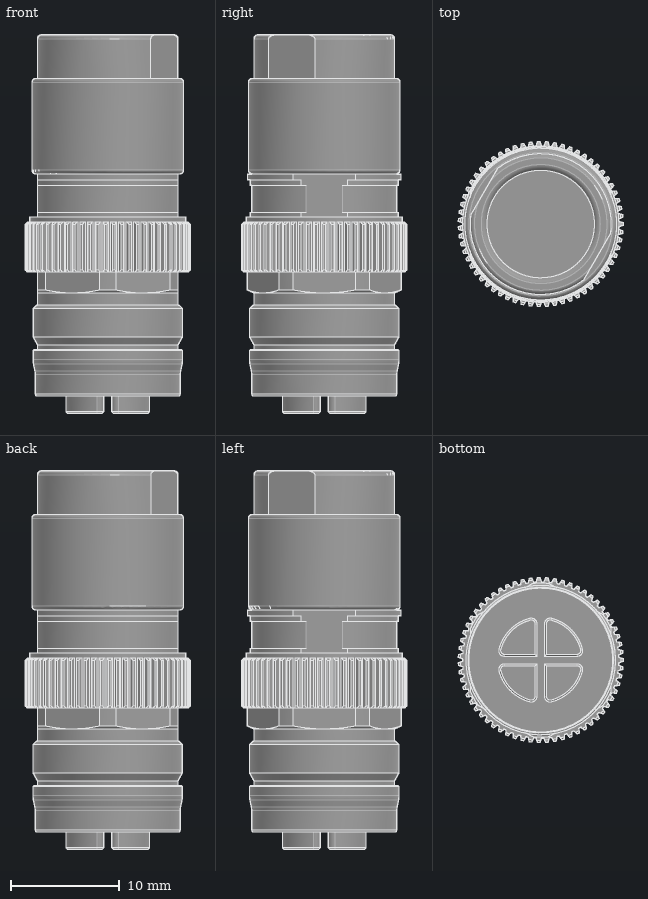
import cadquery as cq
import math

total_height = 34.9
neck_d = 13.0
neck_r = neck_d / 2

contact_gap = 0.7
contact_r = 3.98
contact_corner_r = 0.52
contact_chamfer = 0.17

coupling_z = 1.6
skirt_r = 13.4 / 2
skirt_edge_height = 0.2
skirt_edge_inset = 0.07
ridge_r = 13.8 / 2
blend_step = 0.03
taper_foot_z = 3.6
taper_low_z = 3.9
taper_high_z = 4.55
taper_end_z = 4.95
lower_ridge_top_z = 5.9
lower_ridge_chamfer = 0.1
groove_top_z = 6.3
upper_ridge_z = 7.05
upper_ridge_top_z = 9.98
upper_ridge_chamfer = 0.3

hex_z = 11.1
hex_corner_z = 11.38
collar_r = 14.2 / 2

ring_z = 13.02
ring_top_z = 17.62
ring_root_r = 14.4 / 2
ring_tip_r = 15.2 / 2
ring_chamfer = 0.2
tooth_count = 63
tooth_tip_width = 0.25
tooth_root_width = 0.52
tooth_overlap = 0.1
shoulder_top_z = 18.1

band_low_top_z = 18.53
band_high_z = 21.0
collar_z = 21.55
band_r = 13.68 / 2
waist_r = 13.4 / 2

body_z = 22.05
body_top_z = 30.9
body_r = 14.0 / 2
edge_round = 0.4
cap_flat_width = 12.0
cap_flat_angle = 150
recess_r = 4.95
recess_depth = 0.4
recess_rim_round = 0.55


def cylinder(radius, z_low, z_high):
    return cq.Workplane("XY").workplane(offset=z_low).circle(radius).extrude(z_high - z_low)


def slab(width, z_low, z_high, angle=0):
    """Block bounded by two parallel flats whose normals lie at the given angle from X."""
    length = 2 * ring_tip_r
    block = cq.Workplane("XY").workplane(offset=z_low).rect(width, length).extrude(z_high - z_low)
    return block.rotate((0, 0, 0), (0, 0, 1), angle)


def contact_segments():
    """Four filleted quarter-disc segments, separated by the cross gap."""
    inner = contact_gap / 2
    outer = math.sqrt(contact_r**2 - inner**2)
    mid = contact_r * math.sqrt(0.5)
    segment = (
        cq.Workplane("XY")
        .moveTo(inner, inner)
        .lineTo(outer, inner)
        .threePointArc((mid, mid), (inner, outer))
        .close()
        .extrude(coupling_z)
    )
    outer_corners = segment.edges("|Z").edges(">X or >Y")
    segment = outer_corners.fillet(contact_corner_r)
    segment = segment.faces("<Z").chamfer(contact_chamfer)
    segments = segment
    for quarter in range(1, 4):
        segments = segments.union(segment.rotate((0, 0, 0), (0, 0, 1), 90 * quarter))
    return segments


def coupling_sleeve():
    """Turned sleeve: skirt, blended taper, two ridges and the neck up to the hexagon."""
    chamfer_start_r = ridge_r - upper_ridge_chamfer
    return (
        cq.Workplane("XZ")
        .moveTo(0, coupling_z)
        .lineTo(skirt_r - skirt_edge_inset, coupling_z)
        .lineTo(skirt_r, coupling_z + skirt_edge_height)
        .lineTo(skirt_r, taper_foot_z)
        .tangentArcPoint((skirt_r + blend_step, taper_low_z), relative=False)
        .lineTo(ridge_r - blend_step, taper_high_z)
        .tangentArcPoint((ridge_r, taper_end_z), relative=False)
        .lineTo(ridge_r, lower_ridge_top_z - lower_ridge_chamfer)
        .lineTo(ridge_r - lower_ridge_chamfer, lower_ridge_top_z)
        .lineTo(neck_r, lower_ridge_top_z)
        .lineTo(neck_r, groove_top_z)
        .lineTo(ridge_r, upper_ridge_z)
        .lineTo(ridge_r, upper_ridge_top_z - upper_ridge_chamfer)
        .lineTo(chamfer_start_r, upper_ridge_top_z)
        .lineTo(neck_r, upper_ridge_top_z)
        .lineTo(neck_r, hex_z)
        .lineTo(0, hex_z)
        .close()
        .revolve(360, (0, 0), (0, 1))
    )


def hexagon():
    """Hexagon with flats facing +X and -X, its corners turned round and coned underneath."""
    corner_diameter = neck_d / math.cos(math.pi / 6)
    prism = (
        cq.Workplane("XY")
        .workplane(offset=hex_z)
        .transformed(rotate=(0, 0, 30))
        .polygon(6, corner_diameter)
        .extrude(ring_z - hex_z)
    )
    envelope = (
        cq.Workplane("XZ")
        .moveTo(0, hex_z)
        .lineTo(neck_r, hex_z)
        .lineTo(collar_r, hex_corner_z)
        .lineTo(collar_r, ring_z)
        .lineTo(0, ring_z)
        .close()
        .revolve(360, (0, 0), (0, 1))
    )
    return prism.intersect(envelope)


def knurled_ring():
    """Ring with straight trapezoidal teeth, the first one pointing along +X."""
    core = cylinder(ring_root_r, ring_z, shoulder_top_z)
    foot_r = ring_root_r - tooth_overlap
    tooth = (
        cq.Workplane("XY")
        .workplane(offset=ring_z)
        .polyline([
            (foot_r, -tooth_root_width / 2),
            (ring_root_r, -tooth_root_width / 2),
            (ring_tip_r, -tooth_tip_width / 2),
            (ring_tip_r, tooth_tip_width / 2),
            (ring_root_r, tooth_root_width / 2),
            (foot_r, tooth_root_width / 2),
        ])
        .close()
        .extrude(ring_top_z - ring_z)
        .edges(">X and |Y")
        .chamfer(ring_chamfer)
    )
    teeth = [
        tooth.rotate((0, 0, 0), (0, 0, 1), 360 * index / tooth_count).val()
        for index in range(tooth_count)
    ]
    return cq.Workplane(core.val().fuse(*teeth))


def waist():
    """Stepped waist with collar, cut by two wrench flats facing +X and -X."""
    turned = (
        cylinder(band_r, shoulder_top_z, band_low_top_z)
        .union(cylinder(waist_r, band_low_top_z, band_high_z))
        .union(cylinder(band_r, band_high_z, collar_z))
        .union(cylinder(collar_r, collar_z, body_z))
    )
    return turned.intersect(slab(neck_d, shoulder_top_z, body_z))


def body():
    return cylinder(body_r, body_z, body_top_z).edges().fillet(edge_round)


def cap():
    """Cap with two flats and a shallow recess that has a rounded rim."""
    plug = cylinder(neck_r, body_top_z, total_height).faces(">Z").edges().fillet(edge_round)
    plug = plug.intersect(slab(cap_flat_width, body_top_z, total_height, cap_flat_angle))
    floor_z = total_height - recess_depth
    drop_angle = math.acos(1 - recess_depth / recess_rim_round)
    rim_r = recess_r + recess_rim_round * math.sin(drop_angle)
    half_angle = drop_angle / 2
    mid_rim = (
        rim_r - recess_rim_round * math.sin(half_angle),
        total_height - recess_rim_round * (1 - math.cos(half_angle)),
    )
    recess = (
        cq.Workplane("XZ")
        .moveTo(0, floor_z)
        .lineTo(recess_r, floor_z)
        .threePointArc(mid_rim, (rim_r, total_height))
        .lineTo(0, total_height)
        .close()
        .revolve(360, (0, 0), (0, 1))
    )
    return plug.cut(recess)


result = (
    coupling_sleeve()
    .union(contact_segments())
    .union(hexagon())
    .union(knurled_ring())
    .union(waist())
    .union(body())
    .union(cap())
)